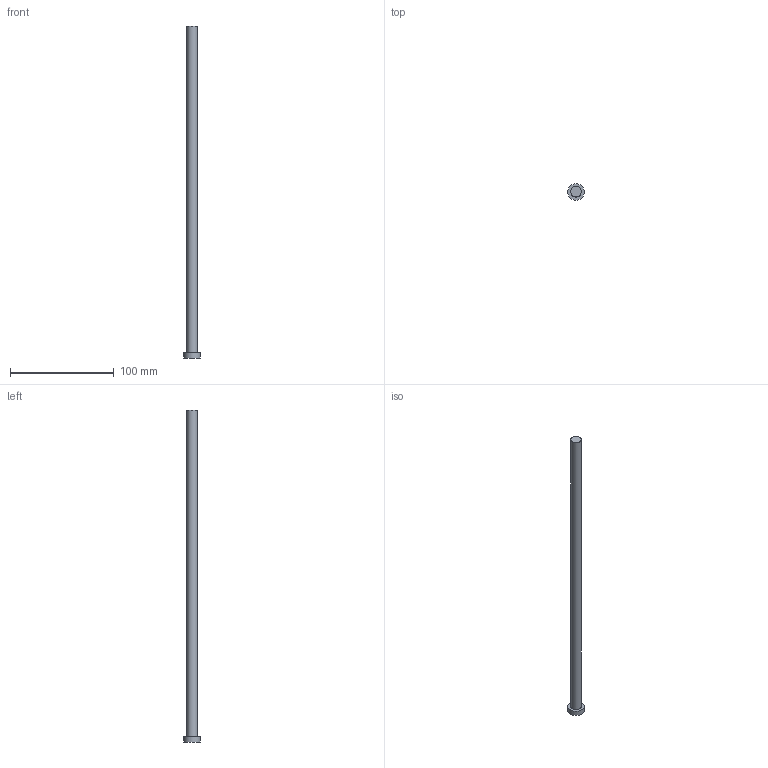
import cadquery as cq

total_length = 320.0
head_diameter = 16.0
head_height = 5.0
shank_diameter = 10.2

shank_length = total_length - head_height


def make_head():
    """Flat cylindrical head standing on Z = 0."""
    return cq.Workplane("XY").circle(head_diameter / 2).extrude(head_height)


def add_shank(head):
    """Long plain shank rising from the top of the head."""
    return head.faces(">Z").workplane().circle(shank_diameter / 2).extrude(shank_length)


result = add_shank(make_head())